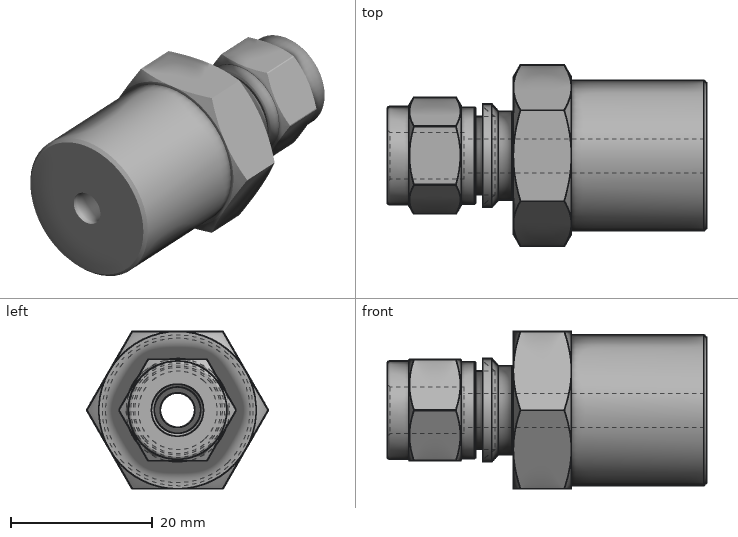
import cadquery as cq
import math

collar_end = 3.02
nut_hex_end = 10.45
skirt_end = 12.55
flange_start = 13.5
flange_end = 14.75
cone_end = 15.65
body_hex_start = 17.85
body_hex_end = 26.0
overall_length = 45.15

collar_diameter = 13.9
skirt_diameter = 13.7
neck_diameter = 11.1
flange_diameter = 14.6
shoulder_diameter = 12.6
shank_diameter = 21.3

recess_diameter = 13.9
recess_depth = 1.65

half_corner_angle = 30.0
nut_flats = 14.35
nut_corner_diameter = 16.48
body_flats = 22.2
body_corner_diameter = body_flats / math.cos(math.radians(half_corner_angle))
hex_chamfer_angle = 30.0

end_bevel = 0.45
small_bevel = 0.23

tube_socket_diameter = 6.55
tube_socket_depth = 10.85
bore_diameter = 4.85
socket_chamfer = 0.4


def cylinder(start, end, diameter):
    """Round section about the X axis."""
    return cq.Workplane("YZ", origin=(start, 0, 0)).circle(diameter / 2).extrude(end - start)


def cone(start, end, start_diameter, end_diameter):
    """Tapered round section about the X axis."""
    return cq.Workplane(
        cq.Solid.makeCone(
            start_diameter / 2,
            end_diameter / 2,
            end - start,
            cq.Vector(start, 0, 0),
            cq.Vector(1, 0, 0),
        )
    )


def chamfered_hexagon(start, end, flats, corner_diameter, face_diameter):
    """Hexagon with corners on the Y axis, coned down to a round face at both ends."""
    face_radius = face_diameter / 2
    corner_radius = corner_diameter / 2
    cone_length = (corner_radius - face_radius) * math.tan(math.radians(hex_chamfer_angle))
    prism = (
        cq.Workplane("YZ", origin=(start, 0, 0))
        .polygon(6, flats / math.cos(math.radians(half_corner_angle)))
        .extrude(end - start)
    )
    envelope = (
        cq.Workplane("XY")
        .moveTo(start, 0)
        .lineTo(start, face_radius)
        .lineTo(start + cone_length, corner_radius)
        .lineTo(end - cone_length, corner_radius)
        .lineTo(end, face_radius)
        .lineTo(end, 0)
        .close()
        .revolve(360, (0, 0, 0), (1, 0, 0))
    )
    return prism.intersect(envelope)


collar = cylinder(0, collar_end, collar_diameter).faces("<X").edges().fillet(end_bevel)
nut_hex = chamfered_hexagon(
    collar_end, nut_hex_end, nut_flats, nut_corner_diameter, collar_diameter
)
skirt = cylinder(nut_hex_end, skirt_end, skirt_diameter).faces(">X").edges().chamfer(small_bevel)

neck = cylinder(skirt_end, cone_end, neck_diameter)
flange = cylinder(flange_start, flange_end, flange_diameter)
flange_recess = cone(
    flange_start, flange_start + recess_depth, recess_diameter, neck_diameter
)
flange_back = cone(flange_end, cone_end, flange_diameter, shoulder_diameter)
flange = flange.union(flange_back).cut(flange_recess)
shoulder = (
    cylinder(cone_end, body_hex_start, shoulder_diameter)
    .faces(">X").edges().chamfer(small_bevel)
)
body_hex = chamfered_hexagon(
    body_hex_start, body_hex_end, body_flats, body_corner_diameter, body_flats
)
shank = (
    cylinder(body_hex_end, overall_length, shank_diameter)
    .faces(">X").edges().chamfer(end_bevel)
)

result = collar
for section in (nut_hex, skirt, neck, flange, shoulder, body_hex, shank):
    result = result.union(section)

mouth_diameter = tube_socket_diameter + 2 * socket_chamfer
mouth = cone(0, socket_chamfer, mouth_diameter, tube_socket_diameter)
result = (
    result
    .cut(cylinder(0, overall_length, bore_diameter))
    .cut(cylinder(0, tube_socket_depth, tube_socket_diameter))
    .cut(mouth)
)